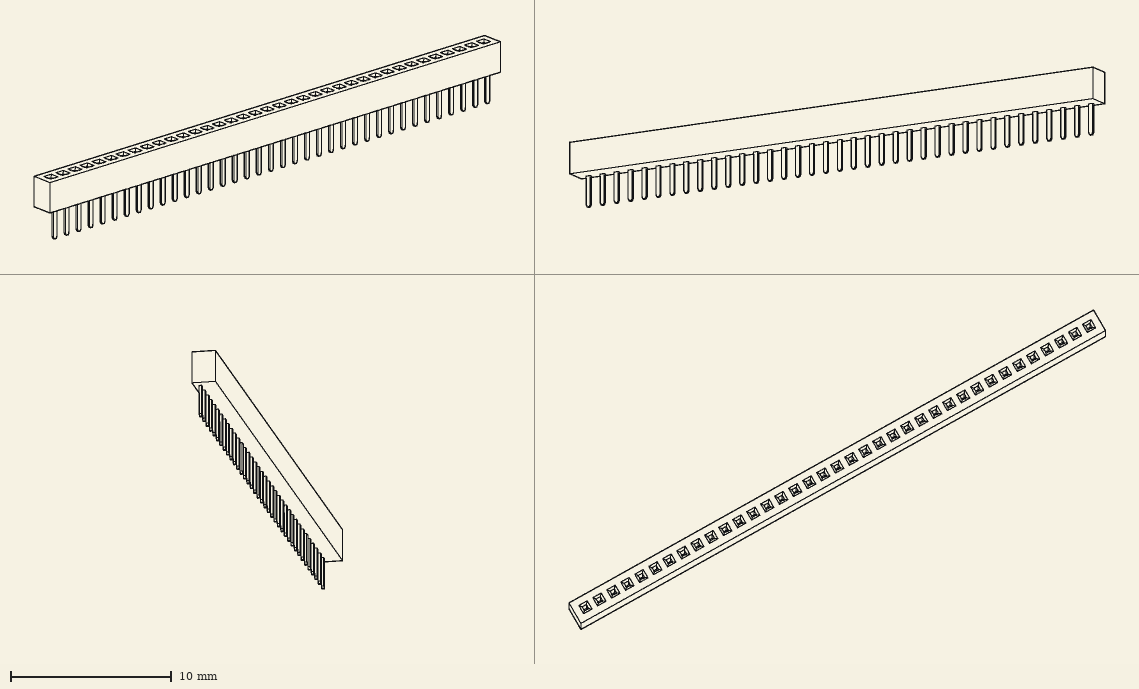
import cadquery as cq

body_length = 37.5
body_width = 1.5
body_height = 2.02
total_height = 4.0

contact_count = 37
end_margin = 0.75
pitch = (body_length - 2 * end_margin) / (contact_count - 1)
first_contact = -body_length / 2 + end_margin
contact_positions = [first_contact + i * pitch for i in range(contact_count)]

strip_thickness = 0.15
strip_width = 0.3

hole_size = strip_width
hole_depth = 1.5
funnel_depth = 0.15
mouth_size = hole_size + 2 * funnel_depth

blade_height = 0.5

pin_offset = 0.35
tip_height = 0.15
tip_width = 0.15


def make_housing():
    return cq.Workplane("XY").rect(body_width, body_length).extrude(-body_height)


def make_socket(y):
    """Cutter for one socket: the tapered mouth, and the straight hole with the blade left standing in it."""
    funnel = (
        cq.Workplane("XY", origin=(0, y, 0))
        .rect(mouth_size, mouth_size)
        .workplane(offset=-funnel_depth)
        .rect(hole_size, hole_size)
        .loft(ruled=True)
    )
    hole = (
        cq.Workplane("XY", origin=(0, y, -hole_depth))
        .rect(hole_size, hole_size)
        .extrude(hole_depth - funnel_depth)
    )
    blade = (
        cq.Workplane("XY", origin=(0, y, -hole_depth))
        .rect(strip_thickness, strip_width)
        .extrude(blade_height)
    )
    return funnel.union(hole.cut(blade)).val()


def make_pin(y):
    """One flat pin hanging from the housing, its lower end tapering across the width."""
    shoulder_z = -total_height + tip_height
    outline = [
        (y - strip_width / 2, -body_height),
        (y + strip_width / 2, -body_height),
        (y + strip_width / 2, shoulder_z),
        (y + tip_width / 2, -total_height),
        (y - tip_width / 2, -total_height),
        (y - strip_width / 2, shoulder_z),
    ]
    return (
        cq.Workplane("YZ", origin=(pin_offset - strip_thickness / 2, 0, 0))
        .polyline(outline)
        .close()
        .extrude(strip_thickness)
        .val()
    )


sockets = [make_socket(y) for y in contact_positions]
pins = [make_pin(y) for y in contact_positions]
connector = make_housing().val().cut(*sockets).fuse(*pins)
result = cq.Workplane(connector).solids()